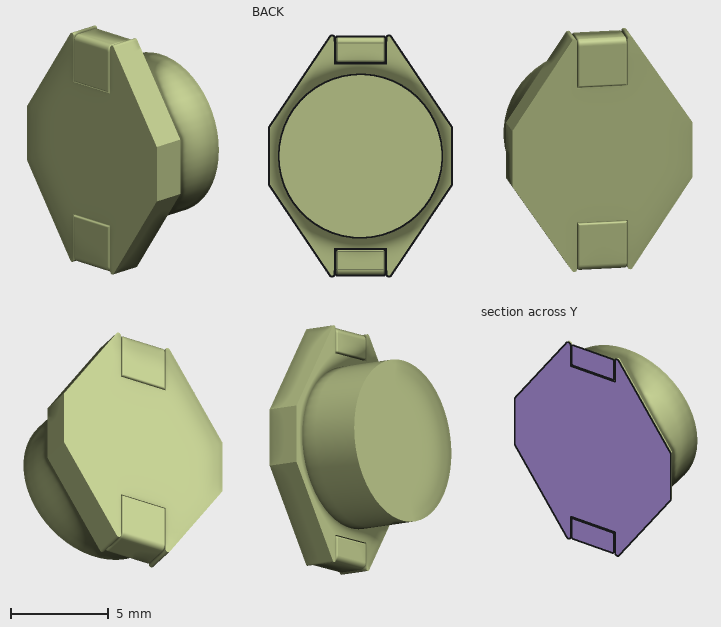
import cadquery as cq
import math

plate_width = 9.4
plate_height = 12.37
plate_thickness = 1.71
side_flat = 2.95
tip_radius = 0.14

body_radius = 4.19
body_length = 3.3

clip_width = 2.56
clip_thickness = 0.25
clip_front_stand = 0.07
clip_back_stand = 0.05
clip_end_drop = 0.05
clip_front_reach = 2.57
clip_back_reach = 1.4
bend_radius = 0.32
clip_edge_radius = 0.1
clip_gap = 0.043

half_width = plate_width / 2
half_height = plate_height / 2
clip_front = -clip_front_stand
clip_back = plate_thickness + clip_back_stand
clip_top = half_height - clip_end_drop
recess_width = clip_width + 2 * clip_gap


def wrap(width, front, back, top, gap):
    """C-shaped bar over the upper plate end; its inside fits the clip, gap lengthens both legs."""
    inner_front = clip_front + clip_thickness
    inner_back = clip_back - clip_thickness
    inner_top = clip_top - clip_thickness
    front_end = half_height - clip_front_reach - gap
    back_end = half_height - clip_back_reach - gap
    profile = [
        (front, front_end),
        (front, top),
        (back, top),
        (back, back_end),
        (inner_back, back_end),
        (inner_back, inner_top),
        (inner_front, inner_top),
        (inner_front, front_end),
    ]
    return cq.Workplane("YZ").polyline(profile).close().extrude(width / 2, both=True)


def make_clip():
    """Clip with rounded bends and softened outer edges."""
    clip = wrap(clip_width, clip_front, clip_back, clip_top, 0)
    clip = clip.faces(">Z").edges("|X").fillet(bend_radius)
    clip = clip.faces("<Y").edges("|Z or <Z").fillet(clip_edge_radius)
    return clip.faces(">Y").edges("<Z").fillet(clip_edge_radius)


def make_recess():
    """Room for a clip, open at both faces and at the end of the plate."""
    return wrap(recess_width, -plate_thickness, 2 * plate_thickness, plate_height, clip_gap)


def upper_and_lower(shape):
    return shape.union(shape.mirror("XY"))


def make_plate():
    """Octagon whose slanted sides run tangent into the rounded tips beside each recess."""
    tip_x = recess_width / 2 + tip_radius
    tip_z = half_height - tip_radius
    run = half_width - tip_x
    rise = tip_z - side_flat / 2
    slant = math.atan2(rise, run) + math.asin(tip_radius / math.hypot(run, rise))

    corner_x = recess_width / 2
    corner_z = side_flat / 2 + (half_width - corner_x) * math.tan(slant)

    upper_half = [
        (half_width, side_flat / 2),
        (corner_x, corner_z),
        (-corner_x, corner_z),
        (-half_width, side_flat / 2),
    ]
    outline = upper_half + [(-x, -z) for x, z in upper_half]
    plate = cq.Workplane("XZ").polyline(outline).close().extrude(-plate_thickness)
    plate = plate.cut(upper_and_lower(make_recess()))

    for end in (-1, 1):
        for side in (-1, 1):
            corner = (side * corner_x, plate_thickness / 2, end * corner_z)
            plate = plate.edges(cq.NearestToPointSelector(corner)).fillet(tip_radius)
    return plate


def make_body():
    """Plain cylinder on the back face of the plate."""
    back_face = cq.Workplane("XZ", origin=(0, plate_thickness, 0))
    return back_face.circle(body_radius).extrude(-body_length)


result = make_plate().union(make_body()).union(upper_and_lower(make_clip()))